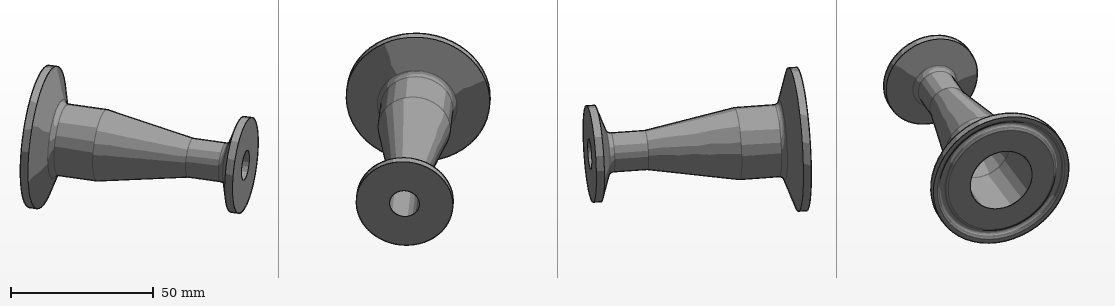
import cadquery as cq
import math

length = 75.0

large_flange_diameter = 50.5
small_flange_diameter = 34.0
rim_thickness = 2.85
flange_back_angle = 20.0
neck_fillet_radius = 2.0

large_tube_diameter = 25.4
small_tube_diameter = 13.8
large_bore_diameter = 23.0
small_bore_diameter = 10.5
taper_start = 22.9
taper_end = 55.1

groove_mid_diameter = 43.5
groove_mouth_width = 4.0
groove_floor_radius = 1.2
groove_lip_radius = 0.8
groove_wall_draft = 25.0

large_flange_radius = large_flange_diameter / 2
small_flange_radius = small_flange_diameter / 2
large_tube_radius = large_tube_diameter / 2
small_tube_radius = small_tube_diameter / 2
large_bore_radius = large_bore_diameter / 2
small_bore_radius = small_bore_diameter / 2


def revolve_about_x(profile):
    """Close a half section and turn it into a solid around the X axis."""
    return profile.close().revolve(360, (0, 0, 0), (1, 0, 0))


def flange_depth(flange_radius, tube_radius):
    """Axial distance from a flange face to where its sloped back meets the tube."""
    back_slope = math.tan(math.radians(flange_back_angle))
    return rim_thickness + (flange_radius - tube_radius) * back_slope


def make_outer_body():
    """Solid outer shape: both flanges, both tubes and the taper, with filleted necks."""
    large_neck = flange_depth(large_flange_radius, large_tube_radius)
    small_neck = length - flange_depth(small_flange_radius, small_tube_radius)
    profile = (
        cq.Workplane("XZ")
        .lineTo(0, large_flange_radius)
        .lineTo(rim_thickness, large_flange_radius)
        .lineTo(large_neck, large_tube_radius)
        .lineTo(taper_start, large_tube_radius)
        .lineTo(taper_end, small_tube_radius)
        .lineTo(small_neck, small_tube_radius)
        .lineTo(length - rim_thickness, small_flange_radius)
        .lineTo(length, small_flange_radius)
        .lineTo(length, 0)
    )
    body = revolve_about_x(profile)
    for neck in (large_neck, small_neck):
        neck_edge = cq.selectors.BoxSelector(
            (neck - neck_fillet_radius / 2, -large_flange_radius, -large_flange_radius),
            (neck + neck_fillet_radius / 2, large_flange_radius, large_flange_radius),
        )
        body = body.edges(neck_edge).fillet(neck_fillet_radius)
    return body


def make_bore():
    """Straight bore in each tube, joined by a cone along the tapered stretch."""
    profile = (
        cq.Workplane("XZ")
        .lineTo(0, large_bore_radius)
        .lineTo(taper_start, large_bore_radius)
        .lineTo(taper_end, small_bore_radius)
        .lineTo(length, small_bore_radius)
        .lineTo(length, 0)
    )
    return revolve_about_x(profile)


def make_gasket_groove():
    """Ring groove with a round floor, short drafted walls and rounded lips."""
    mid_radius = groove_mid_diameter / 2
    sin_draft = math.sin(math.radians(groove_wall_draft))
    cos_draft = math.cos(math.radians(groove_wall_draft))

    mouth = groove_mouth_width / 2
    wall_top = mouth - groove_lip_radius * cos_draft
    wall_bottom = groove_floor_radius * cos_draft

    wall_top_depth = groove_lip_radius * (1 - sin_draft)
    wall_bottom_depth = wall_top_depth + (wall_top - wall_bottom) * cos_draft / sin_draft
    floor_depth = wall_bottom_depth + groove_floor_radius * (1 - sin_draft)

    profile = (
        cq.Workplane("XZ")
        .moveTo(0, mid_radius - mouth)
        .radiusArc((wall_top_depth, mid_radius - wall_top), groove_lip_radius)
        .lineTo(wall_bottom_depth, mid_radius - wall_bottom)
        .threePointArc((floor_depth, mid_radius), (wall_bottom_depth, mid_radius + wall_bottom))
        .lineTo(wall_top_depth, mid_radius + wall_top)
        .radiusArc((0, mid_radius + mouth), groove_lip_radius)
    )
    return revolve_about_x(profile)


result = make_outer_body().cut(make_bore()).cut(make_gasket_groove())